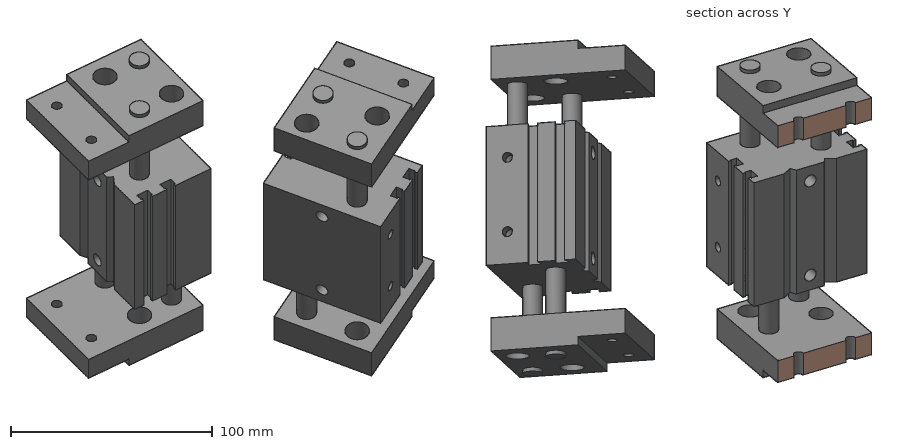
import cadquery as cq
import math


body_width = 65.0
body_depth = 46.0
body_height = 71.0
body_top = body_height / 2

rail_half_width = 8.0
groove_root_x = 9.8
groove_outer_x = 15.0
groove_depth = 3.0

slot_centers_y = (-24.0, -37.9)
slot_mouth_width = 5.0
slot_inner_width = 6.4
slot_lip = 1.5
slot_depth = 5.0

mount_hole_diameter = 6.6
mount_hole_spacing = 54.0

port_diameter = 5.0
port_depth = 6.0
port_spacing = 38.0
drill_tip_angle = 118.0

plate_width = 54.0
plate_thickness = 17.0
plate_gap = 25.5
plate_rear_y = -1.0
plate_step_y = -45.7
plate_front_y = -70.0
tongue_thickness = 12.7
tongue_hole_diameter = 5.2
tongue_hole_x = 15.0
tongue_hole_y = -60.0

rod_diameter = 10.0
rod_protrusion = 2.0
rod_clearance_diameter = 12.0
rear_rod_x = 14.0
front_rod_x = 15.0
rear_rod_y = -11.0
rod_spacing_y = 20.0
front_rod_y = rear_rod_y - rod_spacing_y
upper_rods = [(-rear_rod_x, rear_rod_y), (front_rod_x, front_rod_y)]
lower_rods = [(-x, y) for x, y in upper_rods]

plate_inner_z = body_top + plate_gap
rod_end_z = plate_inner_z + plate_thickness + rod_protrusion


def make_groove(side):
    """Asymmetric V-groove beside the front rail; side is -1 or +1 along X."""
    front_y = -body_depth
    profile = [
        (side * rail_half_width, front_y),
        (side * groove_root_x, front_y + groove_depth),
        (side * groove_outer_x, front_y),
    ]
    return cq.Workplane("XY", origin=(0, 0, -body_top)).polyline(profile).close().extrude(body_height)


def make_t_slot(side, center_y):
    """T-slot running the full body height; side is -1 or +1 along X."""
    face_x = body_width / 2
    mouth = cq.Workplane("XY").box(2 * slot_lip, slot_mouth_width, body_height)
    mouth = mouth.translate((side * face_x, center_y, 0))
    inner_length = slot_depth - slot_lip
    inner = cq.Workplane("XY").box(inner_length, slot_inner_width, body_height)
    inner = inner.translate((side * (face_x - slot_lip - inner_length / 2), center_y, 0))
    return mouth.union(inner)


def make_port(z):
    """Blind hole with a conical drill tip, entering from the -X face."""
    radius = port_diameter / 2
    tip_length = radius / math.tan(math.radians(drill_tip_angle / 2))
    start = cq.Vector(-body_width / 2, rear_rod_y, z)
    axis = cq.Vector(1, 0, 0)
    bore = cq.Solid.makeCylinder(radius, port_depth, start, axis)
    tip = cq.Solid.makeCone(radius, 0, tip_length, start + axis * port_depth, axis)
    return cq.Workplane(bore.fuse(tip))


def make_body():
    body = cq.Workplane("XY").box(body_width, body_depth, body_height)
    body = body.translate((0, -body_depth / 2, 0))
    for side in (-1, 1):
        body = body.cut(make_groove(side))
        for center_y in slot_centers_y:
            body = body.cut(make_t_slot(side, center_y))
    mount_holes = (
        cq.Workplane("XZ")
        .rarray(1, mount_hole_spacing, 1, 2)
        .circle(mount_hole_diameter / 2)
        .extrude(body_depth)
    )
    body = body.cut(mount_holes)
    for z in (-port_spacing / 2, port_spacing / 2):
        body = body.cut(make_port(z))
    return body


def make_upper_end():
    """Upper plate with its two rods, which reach down to the top of the body."""
    outer_z = plate_inner_z + plate_thickness
    tongue_z = plate_inner_z + tongue_thickness
    profile = [
        (plate_rear_y, plate_inner_z),
        (plate_front_y, plate_inner_z),
        (plate_front_y, tongue_z),
        (plate_step_y, tongue_z),
        (plate_step_y, outer_z),
        (plate_rear_y, outer_z),
    ]
    plate = cq.Workplane("YZ").polyline(profile).close().extrude(plate_width / 2, both=True)
    base = cq.Workplane("XY", origin=(0, 0, plate_inner_z))
    clearance = base.pushPoints(lower_rods).circle(rod_clearance_diameter / 2).extrude(plate_thickness)
    tongue_points = [(-tongue_hole_x, tongue_hole_y), (tongue_hole_x, tongue_hole_y)]
    tongue_holes = base.pushPoints(tongue_points).circle(tongue_hole_diameter / 2).extrude(plate_thickness)
    rods = (
        cq.Workplane("XY", origin=(0, 0, body_top))
        .pushPoints(upper_rods)
        .circle(rod_diameter / 2)
        .extrude(rod_end_z - body_top)
    )
    return plate.cut(clearance).cut(tongue_holes).union(rods)


upper_end = make_upper_end()
lower_end = upper_end.rotate((0, 0, 0), (0, 1, 0), 180)

result = make_body().union(upper_end).union(lower_end)